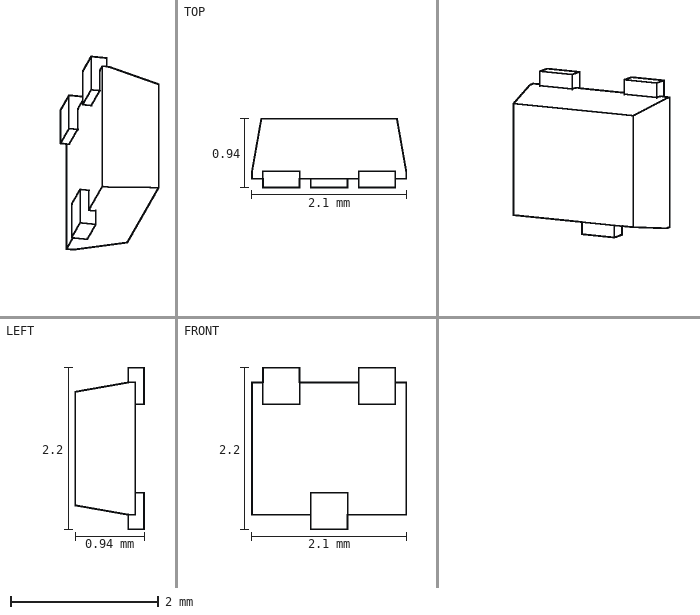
import cadquery as cq
import math

housing_width = 2.1
housing_height = 1.8
rim_depth = 0.1
taper_depth = 0.72
draft_angle = 10.0

lead_size = 0.5
lead_thickness = 0.22
lead_overhang = 0.2
lead_pitch = 1.3

rim_back = lead_thickness
rim_front = rim_back - rim_depth
taper_inset = taper_depth * math.tan(math.radians(draft_angle))
lead_center_z = housing_height / 2 + lead_overhang - lead_size / 2

lead_positions = [
    (-lead_pitch / 2, lead_center_z),
    (lead_pitch / 2, lead_center_z),
    (0, -lead_center_z),
]


def make_lead(x, z):
    """Square pad centred on (x, z), from Y = 0 to the back of the rim."""
    return (
        cq.Workplane("XY")
        .box(lead_size, lead_thickness, lead_size)
        .translate((x, lead_thickness / 2, z))
    )


def make_housing(leads):
    """Rim and tapered back in one solid, with a pocket for each lead."""
    rim = (
        cq.Workplane("XY")
        .box(housing_width, rim_depth, housing_height)
        .translate((0, rim_front + rim_depth / 2, 0))
    )
    taper = (
        cq.Workplane("XZ", origin=(0, rim_back, 0))
        .rect(housing_width, housing_height)
        .workplane(offset=-taper_depth)
        .rect(housing_width - 2 * taper_inset, housing_height - 2 * taper_inset)
        .loft(ruled=True)
    )
    housing = rim.union(taper)
    for lead in leads:
        housing = housing.cut(lead)
    return housing


leads = [make_lead(x, z) for x, z in lead_positions]
housing = make_housing(leads)

result = cq.Compound.makeCompound([housing.val(), *[lead.val() for lead in leads]])